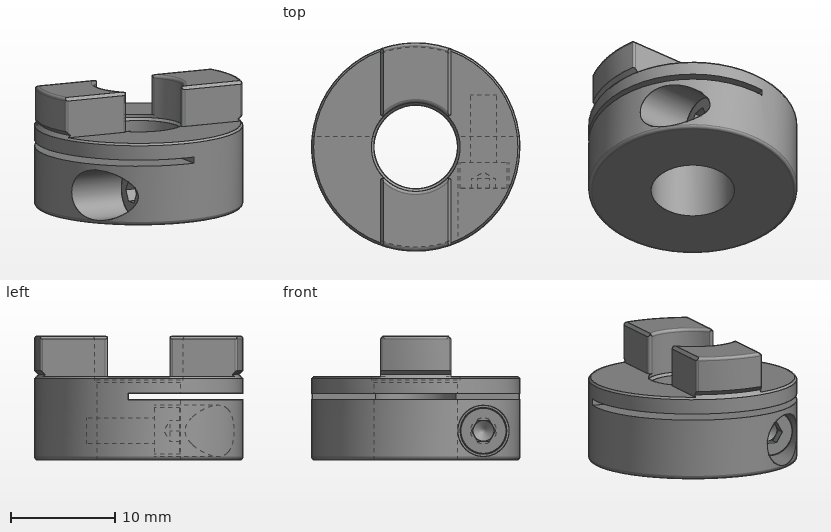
import cadquery as cq
import math

hub_radius = 10
hub_height = 8
hub_bottom_fillet = 0.3
hub_top_chamfer = 0.2
bore_radius = 4
bore_chamfer = 0.25
bore_recess_depth = 0.3

total_height = 11.9
dog_width = 6.8
dog_side_chamfer = 0.3
dog_rim_fillet = 0.3
dog_corner_fillet = 0.25
dog_inner_radius = bore_radius + bore_chamfer
groove_depth = 0.4
groove_apex_z = hub_height - hub_top_chamfer + groove_depth

slot_bottom_z = 5.8
slot_height = 0.6
slot_end_y = 1

screw_x = 6.5
screw_z = 2.8
head_radius = 2.25
head_height = 2.5
head_chamfer = 0.08
head_face_y = -4
head_seat_y = head_face_y + head_height
shank_radius = 1.25
shank_end_y = 5
shank_length = shank_end_y - head_seat_y
counterbore_radius = 2.45
hex_sides = 6
hex_across_flats = 2
hex_depth = 1
hex_point_angle = 118


def cylinder_along_y(radius, start_y, length):
    """Cylinder on the screw axis, running from start_y towards +Y."""
    start = cq.Vector(screw_x, start_y, screw_z)
    return cq.Workplane(cq.Solid.makeCylinder(radius, length, start, cq.Vector(0, 1, 0)))


def make_disc():
    disc = cq.Workplane("XY").circle(hub_radius).extrude(hub_height)
    disc = disc.faces("<Z").edges().fillet(hub_bottom_fillet)
    return disc.faces(">Z").edges().chamfer(hub_top_chamfer)


def make_dogs():
    """Two opposed dogs cut from a ring, with rounded rims and corners and chamfered sides."""
    dog_height = total_height - hub_height
    ring = (
        cq.Workplane("XY", origin=(0, 0, hub_height))
        .circle(hub_radius)
        .circle(dog_inner_radius)
        .extrude(dog_height)
    )
    ring = ring.faces(">Z").edges().fillet(dog_rim_fillet)
    bar = cq.Workplane("XY").box(dog_width, 2 * hub_radius, total_height, centered=(True, True, False))
    bar = bar.faces(">Z").edges("|Y").chamfer(dog_side_chamfer)
    dogs = ring.intersect(bar)
    return dogs.edges("|Z").fillet(dog_corner_fillet)


def make_groove():
    """Ring with a V section that undercuts the outer foot of the dogs."""
    return (
        cq.Workplane("XZ")
        .moveTo(hub_radius - groove_depth, groove_apex_z)
        .lineTo(hub_radius, groove_apex_z + groove_depth)
        .lineTo(hub_radius + groove_depth, groove_apex_z)
        .lineTo(hub_radius, groove_apex_z - groove_depth)
        .close()
        .revolve(360, (0, 0, 0), (0, 1, 0))
    )


def make_bore():
    """Through bore whose chamfer sits below a shallow recess in line with the dogs."""
    chamfer_top_z = hub_height - bore_recess_depth
    return (
        cq.Workplane("XZ")
        .lineTo(bore_radius, 0)
        .lineTo(bore_radius, chamfer_top_z - bore_chamfer)
        .lineTo(dog_inner_radius, chamfer_top_z)
        .lineTo(dog_inner_radius, hub_height)
        .lineTo(0, hub_height)
        .close()
        .revolve(360, (0, 0, 0), (0, 1, 0))
    )


def make_slot():
    slot_length = hub_radius + slot_end_y
    return cq.Workplane("XY", origin=(0, slot_end_y - slot_length / 2, slot_bottom_z)).box(
        2 * hub_radius, slot_length, slot_height, centered=(True, True, False)
    )


def make_hub():
    counterbore = cylinder_along_y(counterbore_radius, -hub_radius, hub_radius + head_seat_y)
    shank_hole = cylinder_along_y(shank_radius, head_seat_y, shank_length)
    hub = make_disc().union(make_dogs())
    for cutter in (make_groove(), make_bore(), make_slot(), counterbore, shank_hole):
        hub = hub.cut(cutter)
    return hub


def make_hex_socket():
    """Hexagonal socket with a drill point, corners towards +X and -X."""
    corner_diameter = hex_across_flats / math.cos(math.pi / hex_sides)
    flat_radius = hex_across_flats / 2
    point_depth = flat_radius / math.tan(math.radians(hex_point_angle / 2))
    socket = (
        cq.Workplane("XZ", origin=(screw_x, head_face_y, screw_z))
        .polygon(hex_sides, corner_diameter)
        .extrude(-hex_depth)
    )
    floor_center = cq.Vector(screw_x, head_face_y + hex_depth, screw_z)
    point = cq.Solid.makeCone(flat_radius, 0, point_depth, floor_center, cq.Vector(0, 1, 0))
    return socket.union(cq.Workplane(point))


def make_screw():
    head = cylinder_along_y(head_radius, head_face_y, head_height)
    head = head.faces("<Y").edges().chamfer(head_chamfer)
    shank = cylinder_along_y(shank_radius, head_seat_y, shank_length)
    return head.union(shank).cut(make_hex_socket())


hub = make_hub()
screw = make_screw()
result = cq.Compound.makeCompound([hub.val(), screw.val()])